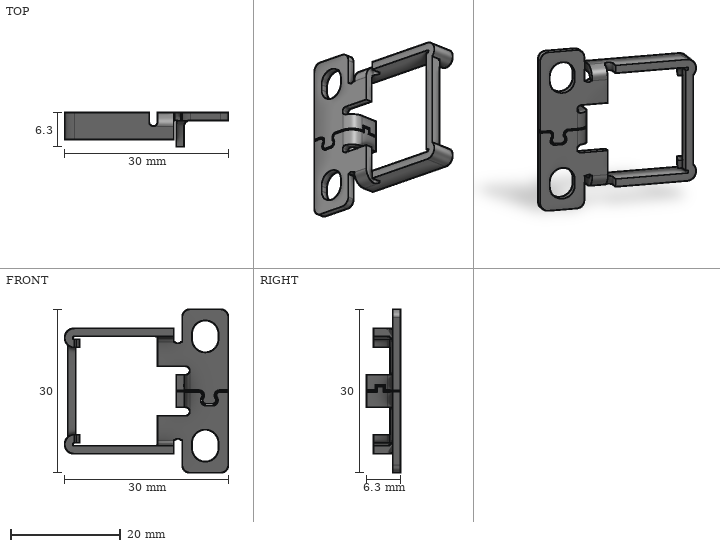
import cadquery as cq
import math

sheet = 1.5
relief_width = 1.5
relief_radius = relief_width / 2
bend_inner_radius = 1.0
bend_outer_radius = bend_inner_radius + sheet

arm_outer_z = 11.5
arm_inner_z = arm_outer_z - sheet
arm_end_x = 20.0
arm_depth = 5.0
hook_inner_radius = 0.25
hook_outer_radius = hook_inner_radius + sheet
hook_x = hook_outer_radius
hook_z = arm_outer_z - hook_outer_radius
lip_bottom_z = hook_z - hook_outer_radius

lip_nose_x = 2.12
lip_tip_x = 2.88
lip_corner_radius = 0.3
lip_root_radius = 0.75

bar_x = 0.55
bar_depth = 2.0

plate_right_x = 30.0
plate_half_height = 15.0
ear_left_x = arm_end_x + relief_width
ear_corner_radius = 1.5
ear_relief_bottom_z = 8.75
shoulder_left_x = 17.0
shoulder_top_z = arm_outer_z - bend_outer_radius
shoulder_bottom_z = 4.5
slot_x = 25.75
slot_z = 10.0
slot_width = 4.8
slot_height = 5.8

tongue_left_x = 20.4
tongue_right_x = tongue_left_x + sheet
tongue_bend_x = tongue_left_x + bend_outer_radius
tongue_depth = 6.3
tongue_half_height = shoulder_bottom_z - relief_width
tongue_relief_z = tongue_half_height + relief_radius

half_gap = 0.15
key_x = 26.5
key_depth = 2.5
key_arc_radius = 0.8
key_foot_half_width = 0.6
step_y = -3.75
step_half_width = 0.75
step_height = 1.0


def block(x0, x1, y0, y1, z0, z1):
    """Box given by its limits along each axis."""
    return cq.Workplane("XY").box(x1 - x0, y1 - y0, z1 - z0, centered=False).translate((x0, y0, z0))


def front_cylinder(x, z, radius, depth):
    """Cylinder running forward from the back face."""
    return cq.Workplane("XZ").center(x, z).circle(radius).extrude(depth)


def bend_quarter(plane, centre, start, side_u, side_v, length):
    """Quarter ring of bent sheet, kept in the quadrant of the plane given by the two side signs."""
    u, v = centre
    base = cq.Workplane(plane).workplane(offset=start)
    ring = base.center(u, v).circle(bend_outer_radius).circle(bend_inner_radius).extrude(length)
    quadrant_u = u + side_u * bend_outer_radius / 2
    quadrant_v = v + side_v * bend_outer_radius / 2
    quadrant = base.center(quadrant_u, quadrant_v).rect(bend_outer_radius, bend_outer_radius)
    return ring.intersect(quadrant.extrude(length))


def make_hook():
    """Half ring at the end of the upper arm."""
    ring = front_cylinder(hook_x, hook_z, hook_outer_radius, arm_depth)
    ring = ring.cut(front_cylinder(hook_x, hook_z, hook_inner_radius, arm_depth))
    return ring.intersect(block(0, hook_x, -arm_depth, 0, lip_bottom_z, arm_outer_z))


def make_lip():
    """Lip on the hook: a hollow curve at its root, then a slanted edge running back to a rounded tip."""
    bar_right_x = bar_x + sheet
    root_run = lip_nose_x - hook_x
    root_drop = lip_root_radius - math.sqrt(lip_root_radius**2 - root_run**2)
    lip_nose_y = root_drop - arm_depth
    half_angle = math.asin(root_run / lip_root_radius) / 2
    root_mid = (
        lip_nose_x - lip_root_radius * math.sin(half_angle),
        lip_nose_y - lip_root_radius * (1 - math.cos(half_angle)),
    )
    lip = (
        cq.Workplane("XY", origin=(0, 0, lip_bottom_z))
        .moveTo(hook_x, -bar_depth)
        .lineTo(hook_x, -arm_depth)
        .threePointArc(root_mid, (lip_nose_x, lip_nose_y))
        .lineTo(lip_tip_x, -bar_depth)
        .close()
        .extrude(sheet)
    )
    lip = lip.edges("|Z and >X").fillet(lip_corner_radius)
    return lip.union(block(hook_x, bar_right_x, -bar_depth, 0, lip_bottom_z, lip_bottom_z + sheet))


def make_arm():
    """Upper arm with the bend into the plate and the relief beside that bend."""
    relief_x = shoulder_left_x - relief_radius
    bend_length = arm_end_x - relief_x
    arm = block(hook_x, relief_x, -arm_depth, 0, arm_inner_z, arm_outer_z)
    arm = arm.union(block(relief_x, arm_end_x, -arm_depth, -bend_outer_radius, arm_inner_z, arm_outer_z))
    bend = bend_quarter("YZ", (-bend_outer_radius, shoulder_top_z), relief_x, 1, 1, bend_length)
    arm = arm.union(bend)

    relief_y = relief_radius - bend_outer_radius
    relief_height = arm_outer_z - shoulder_top_z
    relief_left_x = shoulder_left_x - relief_width
    relief = block(relief_left_x, shoulder_left_x, relief_y, 0, shoulder_top_z, arm_outer_z)
    relief_end = cq.Workplane("XY", origin=(relief_x, relief_y, shoulder_top_z)).circle(relief_radius)
    return arm.cut(relief).cut(relief_end.extrude(relief_height))


def make_upper_plate():
    """Upper half of the flat plate with its ear, shoulder and mounting slot."""
    ear = block(ear_left_x, plate_right_x, -sheet, 0, 0, plate_half_height)
    ear = ear.edges("|Y and >Z").fillet(ear_corner_radius)
    plate = ear.union(block(shoulder_left_x, ear_left_x, -sheet, 0, shoulder_bottom_z, shoulder_top_z))
    slot = cq.Workplane("XZ").center(slot_x, slot_z).slot2D(slot_height, slot_width, 90).extrude(sheet)
    relief_z = ear_relief_bottom_z + relief_radius
    relief = front_cylinder(arm_end_x + relief_radius, relief_z, relief_radius, arm_depth)
    clear_left = block(ear_left_x, tongue_bend_x, -sheet, 0, 0, tongue_relief_z)
    return plate.cut(slot).cut(relief).cut(clear_left)


def make_upper_tongue():
    """Upper half of the tongue, with the bend that joins it to the plate."""
    bend = bend_quarter("XY", (tongue_bend_x, -bend_outer_radius), 0, -1, 1, tongue_relief_z)
    blade = block(tongue_left_x, tongue_right_x, -tongue_depth, -bend_outer_radius, 0, tongue_half_height)
    return bend.union(blade)


def make_tongue_relief():
    """Round-ended slot that separates the tongue from the shoulder above it."""
    end_x = tongue_bend_x - relief_radius
    relief = block(shoulder_left_x, end_x, -tongue_depth, 0, tongue_half_height, shoulder_bottom_z)
    return relief.union(front_cylinder(end_x, tongue_relief_z, relief_radius, tongue_depth))


def make_upper_half():
    """Everything above Z = 0, before the parting gap is cut."""
    half = make_arm().union(make_hook()).union(make_lip())
    hook_clearance = front_cylinder(hook_x, hook_z, hook_outer_radius, arm_depth)
    bar = block(bar_x, bar_x + sheet, -bar_depth, 0, 0, hook_z).cut(hook_clearance)
    half = half.union(bar).union(make_upper_plate()).union(make_upper_tongue())
    return half.cut(make_tongue_relief())


def above_key(shift):
    """Region above the dovetail key line, with that line moved into the region by the shift."""
    neck_z = -key_arc_radius
    foot_z = key_arc_radius - key_depth
    centre_distance = 2 * key_arc_radius
    rise = (neck_z - foot_z) / centre_distance
    run = math.sqrt(1 - rise**2)
    neck_offset = key_foot_half_width + run * centre_distance
    neck_radius = key_arc_radius + shift
    foot_radius = key_arc_radius - shift
    foot_side = key_foot_half_width + foot_radius
    foot_bottom_z = foot_z - foot_radius
    diagonal = neck_radius * math.sqrt(0.5)
    shoulder = neck_offset - diagonal
    shoulder_z = neck_z + diagonal
    tangent = neck_offset - neck_radius * run
    tangent_z = neck_z - neck_radius * rise
    return (
        cq.Workplane("XZ")
        .moveTo(shoulder_left_x, shift)
        .lineTo(key_x - neck_offset, shift)
        .threePointArc((key_x - shoulder, shoulder_z), (key_x - tangent, tangent_z))
        .threePointArc((key_x - foot_side, foot_z), (key_x - key_foot_half_width, foot_bottom_z))
        .lineTo(key_x + key_foot_half_width, foot_bottom_z)
        .threePointArc((key_x + foot_side, foot_z), (key_x + tangent, tangent_z))
        .threePointArc((key_x + shoulder, shoulder_z), (key_x + neck_offset, shift))
        .lineTo(plate_right_x, shift)
        .lineTo(plate_right_x, step_height)
        .lineTo(shoulder_left_x, step_height)
        .close()
        .extrude(bend_outer_radius)
    )


def make_tongue_gap():
    """Gap across the tongue: a straight cut with a square step in the middle."""
    outer = step_half_width + half_gap
    inner = step_half_width - half_gap
    x0 = shoulder_left_x
    x1 = tongue_bend_x
    straight = block(x0, x1, -tongue_depth, 0, -half_gap, half_gap)
    step = block(x0, x1, step_y - outer, step_y + outer, -half_gap, step_height + half_gap)
    step_core = block(x0, x1, step_y - inner, step_y + inner, -half_gap, step_height - half_gap)
    return straight.union(step).cut(step_core)


upper_half = make_upper_half()
body = upper_half.union(upper_half.mirror("XY"))
plate_gap = above_key(-half_gap).cut(above_key(half_gap))
result = body.cut(plate_gap).cut(make_tongue_gap())